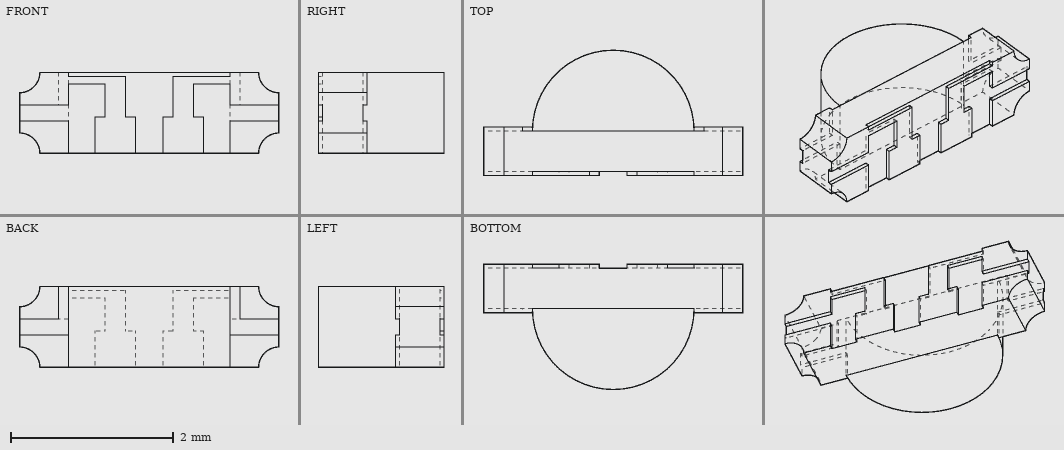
import cadquery as cq

length = 3.2
height = 1.0
housing_depth = 0.6
land_thickness = 0.05
corner_radius = 0.25
lens_radius = 1.0

channel_width = 0.2
front_gap_width = 1.997
rear_upper_gap = 2.24
rear_lower_gap = 2 * lens_radius
trace_edge_gap = 0.05
trace_width = 0.09
pad_center = 0.42
pad_width = 0.5
stem_width = pad_width / 2
pad_top = -0.05

half_length = length / 2
half_height = height / 2
half_channel = channel_width / 2
core_back = housing_depth - land_thickness


def box_between(x_range, y_range, z_range):
    """Box spanning the given (low, high) limits on each axis."""
    corner = cq.Vector(x_range[0], y_range[0], z_range[0])
    size = [high - low for low, high in (x_range, y_range, z_range)]
    return cq.Workplane(cq.Solid.makeBox(*size, corner))


def make_end_lands(side, upper_gap, lower_gap, y_range):
    """Upper and lower lands at one end (side -1 or +1) of a long face."""
    upper_x = sorted((side * upper_gap / 2, side * half_length))
    lower_x = sorted((side * lower_gap / 2, side * half_length))
    upper = box_between(upper_x, y_range, (half_channel, half_height))
    lower = box_between(lower_x, y_range, (-half_height, -half_channel))
    return upper.union(lower)


def make_contact(side):
    """Trace running inward from an upper front land, down a stem to a pad."""
    y_range = (0, land_thickness)
    center = side * pad_center
    trace_top = half_height - trace_edge_gap
    stem_inner = side * (pad_center - stem_width / 2)
    trace_x = sorted((side * front_gap_width / 2, stem_inner))
    stem_x = (center - stem_width / 2, center + stem_width / 2)
    pad_x = (center - pad_width / 2, center + pad_width / 2)
    trace = box_between(trace_x, y_range, (trace_top - trace_width, trace_top))
    stem = box_between(stem_x, y_range, (pad_top, trace_top))
    pad = box_between(pad_x, y_range, (-half_height, pad_top))
    return trace.union(stem).union(pad)


def make_corner_cutters():
    """Round rods along the four long corners, through the full depth."""
    return (
        cq.Workplane("XZ")
        .rect(length, height, forConstruction=True)
        .vertices()
        .circle(corner_radius)
        .extrude(-housing_depth)
    )


def make_housing():
    """Core slab with raised lands front and rear and concave corners."""
    housing = box_between(
        (-half_length, half_length),
        (land_thickness, core_back),
        (-half_height, half_height),
    )
    front_y = (0, land_thickness)
    rear_y = (core_back, housing_depth)
    for side in (-1, 1):
        housing = housing.union(make_end_lands(side, front_gap_width, front_gap_width, front_y))
        housing = housing.union(make_end_lands(side, rear_upper_gap, rear_lower_gap, rear_y))
        housing = housing.union(make_contact(side))
    return housing.cut(make_corner_cutters())


def make_lens():
    """Half-disc lens seated on the rear face of the core, between the lands."""
    return (
        cq.Workplane("XY", origin=(0, core_back, -half_height))
        .moveTo(-lens_radius, 0)
        .threePointArc((0, lens_radius), (lens_radius, 0))
        .close()
        .extrude(height)
    )


housing = make_housing()
lens = make_lens()

result = cq.Compound.makeCompound([housing.solids().val(), lens.val()])